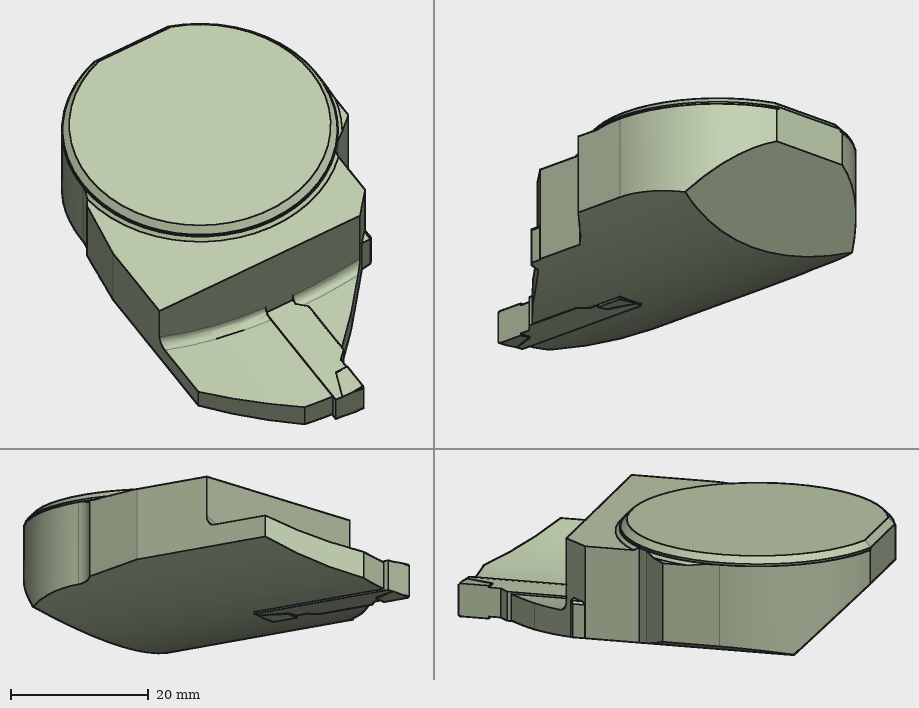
import cadquery as cq

boss_radius = 20.05
flat_x = -18.9
boss_top_z = 17.95
boss_chamfer = 0.95
band_inset = 0.1
band_bottom_z = 16.65
flare = 0.6

holder_top_z = 16.2
underside_radius = 48.25
side_front_y = -22.75
side_back_y = 14.7
back_corner = (8.5, boss_radius)
back_corner_end_x = 13.35
back_slope_start_x = 21.8
back_slope_bend = (32.05, 5.95)
back_slope_end = (37.05, 1.15)
nose_end_x = 44.05
nose_front_y = -9.4
front_side_start_x = 12.75
front_side_end_x = 36.3
bevel_start_z = 11.55

blend_start = (0.0, -boss_radius)
blend_middle = (1.7, -20.4)
blend_end = (3.1, -21.2)

shelf_wall_x = 25.6
shelf_radius = 56.4
shelf_lowest_z = 4.05
shelf_fillet = 1.4

lug_end_x = 24.1
lug_back_y = 14.55
lug_top_z = 7.7
lug_depth = 5.1
lug_length = 5.8
lug_chamfer = 0.4

insert_length = 25.1
tip_x = 45.2
insert_mid_x = tip_x - insert_length / 2
insert_bottom_y = -4.6
insert_end_relief = 0.3
hump_height = 1.35
hump_half_length = 4.8
insert_low_z = -0.05
insert_high_z = 4.35
tip_low_z = -0.4
tip_high_z = 4.6
tip_length = 4.6
tip_heel_y = -1.9
tip_toe_y = -3.5
tip_corner_chamfer = 0.25

reach = 128.2


def prism(points, low_z, high_z):
    return cq.Workplane("XY").workplane(offset=low_z).polyline(points).close().extrude(high_z - low_z)


def cylinder_along_x(radius, lowest_z):
    return (
        cq.Workplane("YZ").workplane(offset=-reach / 2)
        .center(0, lowest_z + radius).circle(radius).extrude(reach)
    )


def make_boss():
    """Chamfered round cap over a slightly narrower band, on a full-size cylinder."""
    upper_radius = boss_radius - band_inset
    core = cq.Workplane("XY").circle(boss_radius).extrude(band_bottom_z)
    cap = (
        cq.Workplane("XY").workplane(offset=band_bottom_z)
        .circle(upper_radius).extrude(boss_top_z - band_bottom_z)
    )
    beyond_flat = cq.Workplane("XY").box(reach, reach, reach).translate((flat_x - reach / 2, 0, 0))
    return core.union(cap).cut(beyond_flat).faces(">Z").edges().chamfer(boss_chamfer)


def make_plate():
    """Straight-sided part of the holder, from under the boss to the nose."""
    return (
        cq.Workplane("XY")
        .moveTo(0, boss_radius)
        .lineTo(*back_corner)
        .lineTo(back_corner_end_x, side_back_y)
        .lineTo(back_slope_start_x, side_back_y)
        .lineTo(*back_slope_bend)
        .lineTo(*back_slope_end)
        .lineTo(nose_end_x, insert_bottom_y)
        .lineTo(nose_end_x, nose_front_y)
        .lineTo(front_side_end_x, side_front_y)
        .lineTo(front_side_start_x, side_front_y)
        .lineTo(*blend_end)
        .threePointArc(blend_middle, blend_start)
        .close()
        .extrude(holder_top_z)
    )


def make_flare(plate):
    """Conical skirt where the boss rises from the plate, kept within the plate outline."""
    cone = cq.Workplane("XY").add(
        cq.Solid.makeCone(
            boss_radius + flare, boss_radius, band_bottom_z - holder_top_z,
            pnt=cq.Vector(0, 0, holder_top_z),
        )
    )
    return cone.intersect(plate.translate((0, 0, band_bottom_z - holder_top_z)))


def make_shelf_cut():
    """Space above the shelf, with a fillet at the foot of the wall."""
    block = cq.Workplane("XY").box(reach / 2, reach / 2, reach / 2, centered=(False, True, False))
    block = block.translate((shelf_wall_x, 0, 0))
    space = block.intersect(cylinder_along_x(shelf_radius, shelf_lowest_z))
    return space.faces("<X").edges("<Z").fillet(shelf_fillet)


def make_lug():
    lug = (
        cq.Workplane("XY").box(lug_length, lug_depth, lug_top_z, centered=False)
        .translate((lug_end_x - lug_length, lug_back_y - lug_depth, 0))
    )
    return lug.edges("|Z and >X and >Y").chamfer(lug_chamfer).faces(">Z").edges(">Y").chamfer(lug_chamfer)


def make_bevel_cut():
    """45 degree cut under the flat side of the boss."""
    run = bevel_start_z
    return (
        cq.Workplane("XZ").workplane(offset=-reach / 2)
        .polyline([(flat_x - run, 2 * run), (flat_x + 2 * run, -run), (flat_x - run, -run)])
        .close().extrude(reach)
    )


def make_tip():
    """Cutting head, widest at the rake edge and narrowing away from it."""
    heel_x = tip_x - tip_length
    end_x = tip_x - insert_end_relief * tip_toe_y / insert_bottom_y
    outline = [(heel_x, 0), (heel_x, tip_heel_y), (end_x, tip_toe_y), (tip_x, 0)]
    wedge = (
        cq.Workplane("YZ").workplane(offset=heel_x)
        .polyline([(0, tip_low_z), (0, tip_high_z), (tip_toe_y, insert_high_z), (tip_toe_y, insert_low_z)])
        .close().extrude(tip_length)
    )
    tip = wedge.intersect(prism(outline, tip_low_z, tip_high_z))
    chamfered_block = (
        cq.Workplane("XY")
        .box(tip_length, -insert_bottom_y, tip_high_z - tip_low_z, centered=False)
        .edges("|Y and >X").chamfer(tip_corner_chamfer)
        .translate((heel_x, insert_bottom_y, tip_low_z))
    )
    return tip.intersect(chamfered_block)


def insert_outline():
    right_half = [
        (hump_half_length, hump_height),
        (hump_half_length + hump_height, 0),
        (insert_length / 2, 0),
        (insert_length / 2 - insert_end_relief, insert_bottom_y),
    ]
    left_half = [(-x, y) for x, y in reversed(right_half)]
    return [(insert_mid_x + x, y) for x, y in right_half + left_half]


def make_insert():
    bar = prism(insert_outline(), insert_low_z, insert_high_z)
    tip = make_tip()
    other_tip = tip.mirror("YZ", (insert_mid_x, 0, 0))
    return bar.union(tip).union(other_tip)


def make_insert_clearance():
    """Opening over the insert that takes the shelf fillet away in front of the wall."""
    beyond_wall = (
        cq.Workplane("XY").box(reach, reach, reach, centered=(False, True, True))
        .translate((shelf_wall_x, 0, 0))
    )
    return prism(insert_outline(), insert_high_z, holder_top_z).intersect(beyond_wall)


def make_holder(insert):
    plate = make_plate()
    holder = plate.union(make_boss()).union(make_flare(plate))
    holder = holder.cut(make_shelf_cut()).union(make_lug())
    holder = holder.intersect(cylinder_along_x(underside_radius, 0)).cut(make_bevel_cut())
    return holder.cut(insert).cut(make_insert_clearance())


insert = make_insert()
holder = make_holder(insert)
result = cq.Compound.makeCompound([holder.val(), insert.val()])